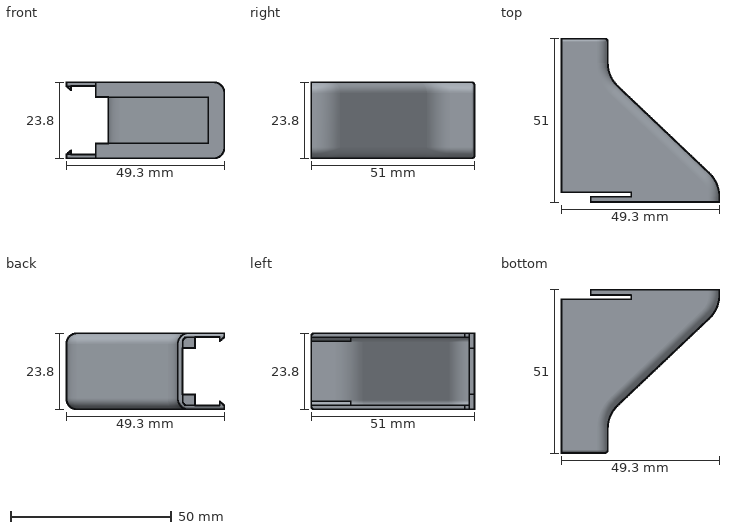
import cadquery as cq
import math

length = 49.3
depth = 51
height = 23.8

wall = 1.5
plate = 1.3
outer_round = 3.35
inner_round = 1.55
end_round = 1.0

neck_x = 14.55
neck_start_y = 43.35
bend_radius = 10.0

flange_thickness = 1.75
flange_start_x = 9.2
flange_leg = 4.7
flange_web = 5.0
slot_width = 1.3
slot_end_x = 21.8

hook_width = 1.55
hook_drop = 1.35
hook_length = 12.35

overrun = 2.55
margin = 0.05

neck_center = (neck_x + bend_radius, neck_start_y)
foot_center = (length - bend_radius, flange_thickness)
center_dx = foot_center[0] - neck_center[0]
center_dy = foot_center[1] - neck_center[1]
center_distance = math.hypot(center_dx, center_dy)
bend_angle = math.atan2(center_dy, center_dx) + math.acos(-2 * bend_radius / center_distance)


def on_circle(center, radius, angle):
    return (center[0] + radius * math.cos(angle), center[1] + radius * math.sin(angle))


def wall_prism(inset, x_min, y_min, y_max, z_min, z_max, edge_round):
    """Solid bounded by the curved wall moved inward, its long edges rounded."""
    neck_radius = bend_radius + inset
    foot_radius = bend_radius - inset
    neck_angle = math.pi + bend_angle
    solid = (
        cq.Workplane("XY", origin=(0, 0, z_min))
        .moveTo(x_min, y_min)
        .lineTo(x_min, y_max)
        .lineTo(neck_x - inset, y_max)
        .lineTo(neck_x - inset, neck_start_y)
        .threePointArc(
            on_circle(neck_center, neck_radius, math.pi + bend_angle / 2),
            on_circle(neck_center, neck_radius, neck_angle),
        )
        .lineTo(*on_circle(foot_center, foot_radius, bend_angle))
        .threePointArc(
            on_circle(foot_center, foot_radius, bend_angle / 2),
            on_circle(foot_center, foot_radius, 0),
        )
        .lineTo(length - inset, y_min)
        .close()
        .extrude(z_max - z_min)
    )
    along_wall = cq.selectors.BoxSelector(
        (x_min + margin, y_min + margin, z_min - margin),
        (length + margin, y_max - margin, z_max + margin),
    )
    return solid.faces("|Z").edges(along_wall).fillet(edge_round)


def box(x_min, x_max, y_min, y_max, z_min, z_max):
    size = (x_max - x_min, y_max - y_min, z_max - z_min)
    return cq.Workplane("XY").box(*size, centered=False).translate((x_min, y_min, z_min))


def hook():
    """Snap hook on the lower plate: sloped lead-in from the open side, upright face behind it."""
    return (
        cq.Workplane("XZ", origin=(0, depth, 0))
        .polyline([(0, plate), (hook_width, plate + hook_drop), (hook_width, plate)])
        .close()
        .extrude(hook_length)
    )


body = wall_prism(0, 0, 0, depth, 0, height, outer_round)
body = body.faces(">Y").edges("not(<X)").fillet(end_round)

cavity = wall_prism(
    wall, -overrun, -overrun, depth + overrun, plate, height - plate, inner_round
)
flange_zone = box(-overrun, length, -overrun, flange_thickness, 0, height)
body = body.cut(cavity.cut(flange_zone))

body = body.cut(
    box(-overrun, length - flange_web, -overrun, flange_thickness, flange_leg, height - flange_leg)
)

slot_top_y = flange_thickness + slot_width
body = body.cut(box(-overrun, flange_start_x, -overrun, slot_top_y, -overrun, height + overrun))
body = body.cut(box(-overrun, slot_end_x, flange_thickness, slot_top_y, -overrun, height + overrun))

lower_hook = hook()
upper_hook = lower_hook.mirror("XY", (0, 0, height / 2))
result = body.union(lower_hook).union(upper_hook)